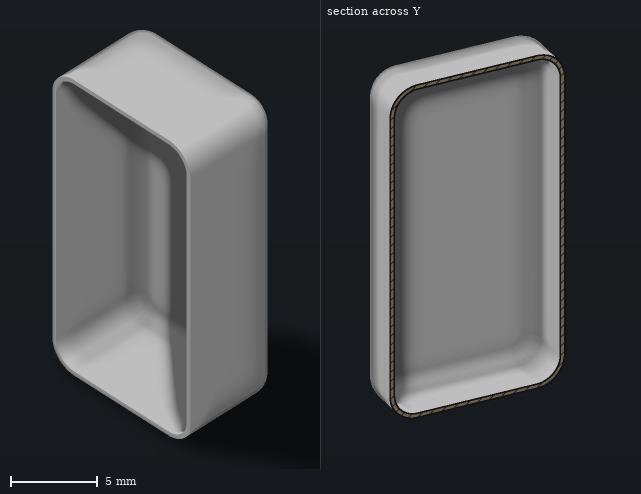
import cadquery as cq

width = 11.3
depth = 7.0
height = 22.0

wall = 0.3
corner_radius = 1.8
floor_radius = 1.2


def rounded_block(inset):
    """Block inset from the outer skin on every side except the open -Y end."""
    return (
        cq.Workplane("XZ")
        .rect(width - 2 * inset, height - 2 * inset)
        .extrude(-(depth - inset))
        .edges("|Y")
        .fillet(corner_radius - inset)
        .faces(">Y")
        .edges()
        .fillet(floor_radius - inset)
    )


outer_body = rounded_block(0)
cavity = rounded_block(wall)

result = outer_body.cut(cavity)